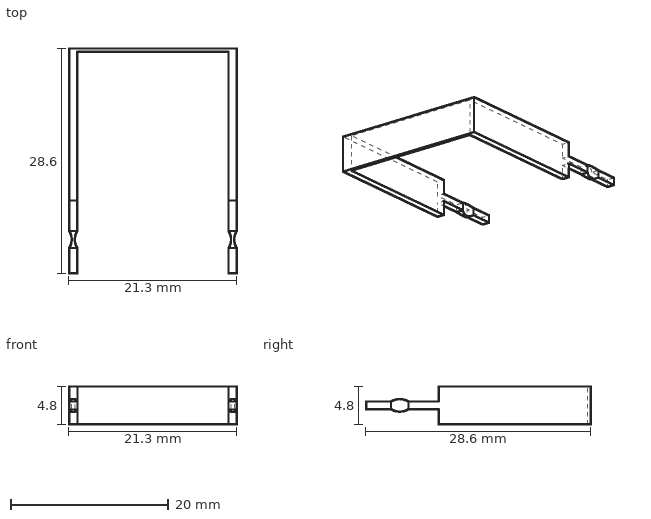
import cadquery as cq

width = 21.32
length = 28.58
height = 4.8

arm_thickness = 1.05
back_thickness = 0.43
pin_length = 9.23
pin_height = 1.0

crimp_length = 2.17
crimp_center_from_tip = 4.3
crimp_width = 0.43
crimp_height = 1.63

tip_y = -length / 2
back_y = length / 2
shoulder_y = tip_y + pin_length
crimp_center_y = tip_y + crimp_center_from_tip
crimp_start_y = crimp_center_y - crimp_length / 2
crimp_end_y = crimp_center_y + crimp_length / 2
arm_center_x = (width - arm_thickness) / 2


def make_frame():
    """Back plate with two full-height arms, open toward -Y."""
    frame_length = back_y - shoulder_y
    outer = cq.Workplane("XY").box(width, frame_length, height)
    opening = (
        cq.Workplane("XY")
        .box(width - 2 * arm_thickness, frame_length, height)
        .translate((0, -back_thickness, 0))
    )
    return outer.cut(opening).translate((0, (back_y + shoulder_y) / 2, 0))


def pin_profile(plane, end_size, middle_size):
    """Outline along Y whose size changes by an arc on both sides of the crimp."""
    end = end_size / 2
    middle = middle_size / 2
    return (
        cq.Workplane(plane)
        .moveTo(end, tip_y)
        .lineTo(end, crimp_start_y)
        .threePointArc((middle, crimp_center_y), (end, crimp_end_y))
        .lineTo(end, shoulder_y)
        .lineTo(-end, shoulder_y)
        .lineTo(-end, crimp_end_y)
        .threePointArc((-middle, crimp_center_y), (-end, crimp_start_y))
        .lineTo(-end, tip_y)
        .close()
    )


def make_pin(center_x):
    """Pin where the waisted plan outline meets the bulged side outline."""
    plan = pin_profile("XY", arm_thickness, crimp_width).extrude(height / 2, both=True)
    side = pin_profile("ZY", pin_height, crimp_height).extrude(arm_thickness, both=True)
    return plan.intersect(side).translate((center_x, 0, 0))


result = make_frame()
for side_sign in (-1, 1):
    result = result.union(make_pin(side_sign * arm_center_x))